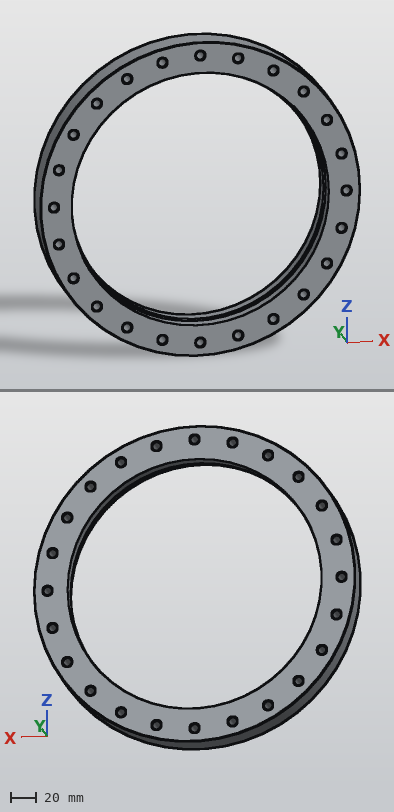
import cadquery as cq

outer_diameter = 253.2
thickness = 24.5
rim_chamfer = 0.5

front_bore_diameter = 203.5
back_bore_diameter = 200.0
front_bore_depth = 12.0

hole_count = 24
bolt_circle_diameter = 231.7
hole_diameter = 6.8
hole_mouth_diameter = 8.0

front_y = -thickness / 2
back_y = thickness / 2


def cylinder_from_front(diameter, length):
    """Cylinder on the ring axis, running from the front face towards the back."""
    front_face = cq.Plane(origin=(0, front_y, 0), xDir=(1, 0, 0), normal=(0, 1, 0))
    return cq.Workplane(front_face).circle(diameter / 2).extrude(length)


def make_ring():
    """Disc with chamfered rims and the stepped bore."""
    disc = cylinder_from_front(outer_diameter, thickness)
    disc = disc.faces("<Y or >Y").edges().chamfer(rim_chamfer)
    front_bore = cylinder_from_front(front_bore_diameter, front_bore_depth)
    back_bore = cylinder_from_front(back_bore_diameter, thickness)
    return disc.cut(front_bore).cut(back_bore)


def make_bolt_hole():
    """Cutter for one through hole with 45 degree mouths, revolved about the Y axis."""
    radius = hole_diameter / 2
    mouth_radius = hole_mouth_diameter / 2
    mouth_depth = mouth_radius - radius
    profile = [
        (0, front_y),
        (mouth_radius, front_y),
        (radius, front_y + mouth_depth),
        (radius, back_y - mouth_depth),
        (mouth_radius, back_y),
        (0, back_y),
    ]
    return cq.Workplane("XY").polyline(profile).close().revolve(360, (0, 0, 0), (0, 1, 0))


result = make_ring()
first_hole = make_bolt_hole().translate((0, 0, bolt_circle_diameter / 2))
for index in range(hole_count):
    hole = first_hole.rotate((0, 0, 0), (0, 1, 0), index * 360 / hole_count)
    result = result.cut(hole)